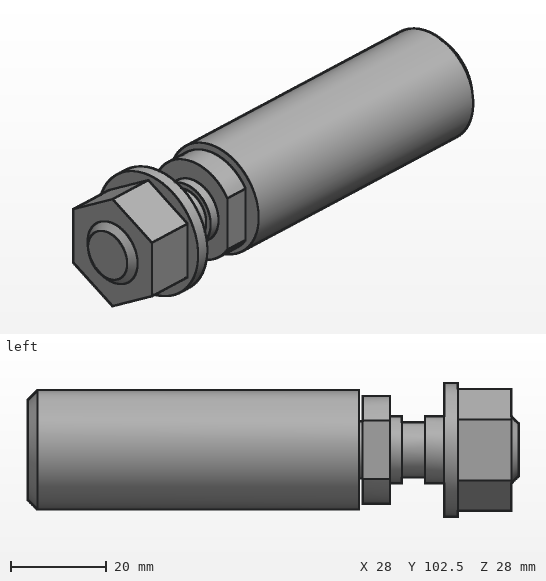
import cadquery as cq
import math

total_length = 102.5

stud_diameter = 14.0
stud_neck_diameter = 11.6
washer_diameter = 28.0
collar_diameter = 22.5
relief_diameter = 12.0
body_diameter = 25.0

nut_across_flats = 22.0
collar_across_flats = 19.0
nut_across_corners = nut_across_flats / math.cos(math.pi / 6)

tip_length = 1.5
nut_length = 11.2
washer_thickness = 2.9
front_land_length = 4.0
stud_neck_length = 4.8
rear_land_length = 2.5
collar_length = 5.7
relief_length = 0.7
body_chamfer = 2.0

tip_start = -total_length / 2
nut_start = tip_start + tip_length
washer_start = nut_start + nut_length
front_land_start = washer_start + washer_thickness
stud_neck_start = front_land_start + front_land_length
rear_land_start = stud_neck_start + stud_neck_length
collar_start = rear_land_start + rear_land_length
relief_start = collar_start + collar_length
body_start = relief_start + relief_length
body_end = total_length / 2


def plane_at(y):
    """Plane across the axis, with its normal along +Y and local Y along +Z."""
    return cq.Workplane(cq.Plane(origin=(0, y, 0), xDir=(-1, 0, 0), normal=(0, 1, 0)))


def cylinder(diameter, start, end):
    return plane_at(start).circle(diameter / 2).extrude(end - start)


def make_stud():
    """Chamfered stud, necked down between its two plain lands."""
    front = cylinder(stud_diameter, tip_start, stud_neck_start).faces("<Y").chamfer(tip_length)
    neck = cylinder(stud_neck_diameter, stud_neck_start, rear_land_start)
    rear = cylinder(stud_diameter, rear_land_start, collar_start)
    return front.union(neck).union(rear)


def make_nut():
    """Hexagon with two flats facing +X and -X and corners facing +Z and -Z."""
    return (
        plane_at(nut_start)
        .transformed(rotate=(0, 0, 90))
        .polygon(6, nut_across_corners)
        .extrude(nut_length)
    )


def make_collar():
    """Round collar with a pair of wrench flats facing +X and -X."""
    flats = plane_at(collar_start).rect(collar_across_flats, collar_diameter).extrude(collar_length)
    return cylinder(collar_diameter, collar_start, relief_start).intersect(flats)


def make_body():
    return cylinder(body_diameter, body_start, body_end).faces(">Y").chamfer(body_chamfer)


washer = cylinder(washer_diameter, washer_start, front_land_start)
relief = cylinder(relief_diameter, relief_start, body_start)

result = (
    make_stud()
    .union(make_nut())
    .union(washer)
    .union(make_collar())
    .union(relief)
    .union(make_body())
)